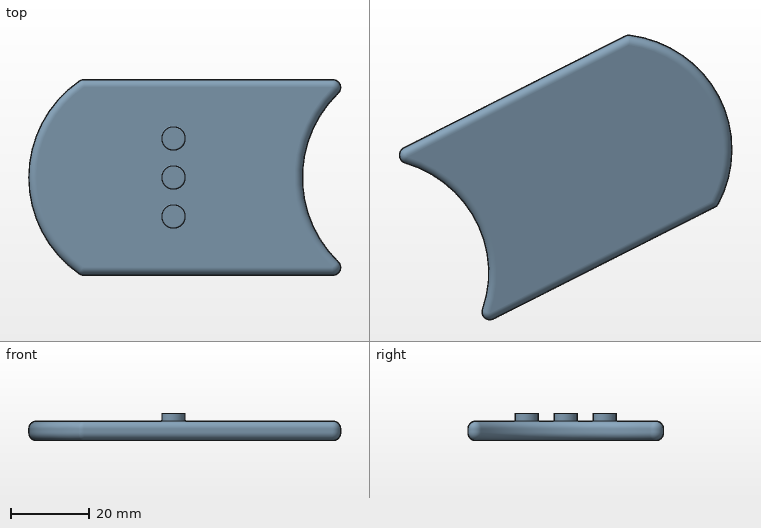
import cadquery as cq
import math

length = 79.75
width = 50.0
plate_thickness = 5.0
edge_radius = 2.0
end_radius = 30.0
pin_diameter = 6.0
pin_height = 2.0
pin_pitch = 10.0
pin_x = 37.0
pin_count = 3
pin_round = 0.2

face_half_width = width / 2 - edge_radius
bow_radius = end_radius - edge_radius
hollow_radius = end_radius + edge_radius
bow_corner_x = end_radius - math.sqrt(bow_radius**2 - face_half_width**2)
hollow_corner_x = length - edge_radius
hollow_center_x = hollow_corner_x + math.sqrt(hollow_radius**2 - face_half_width**2)
hollow_middle_x = hollow_center_x - hollow_radius


def make_plate():
    """Plate with a bowed end, a hollow end and a rounded rim all around."""
    return (
        cq.Workplane("XY")
        .moveTo(bow_corner_x, -face_half_width)
        .lineTo(hollow_corner_x, -face_half_width)
        .threePointArc((hollow_middle_x, 0), (hollow_corner_x, face_half_width))
        .lineTo(bow_corner_x, face_half_width)
        .threePointArc((edge_radius, 0), (bow_corner_x, -face_half_width))
        .close()
        .offset2D(edge_radius, "arc")
        .extrude(plate_thickness)
        .faces("<Z or >Z")
        .edges()
        .fillet(edge_radius)
    )


def add_pins(plate):
    """Row of three pins with rounded tops, blended into the plate at the foot."""
    top_z = plate_thickness + pin_height
    pins = (
        cq.Workplane("XY", origin=(pin_x, 0, plate_thickness))
        .rarray(0.8, pin_pitch, 1, pin_count)
        .circle(pin_diameter / 2)
        .extrude(pin_height)
    )
    row_reach = (pin_count - 1) * pin_pitch / 2 + pin_diameter
    pin_zone = cq.selectors.BoxSelector(
        (pin_x - pin_diameter, -row_reach, plate_thickness - pin_round),
        (pin_x + pin_diameter, row_reach, top_z + pin_round),
    )
    return plate.union(pins).edges(pin_zone).edges("%CIRCLE").fillet(pin_round)


result = add_pins(make_plate())